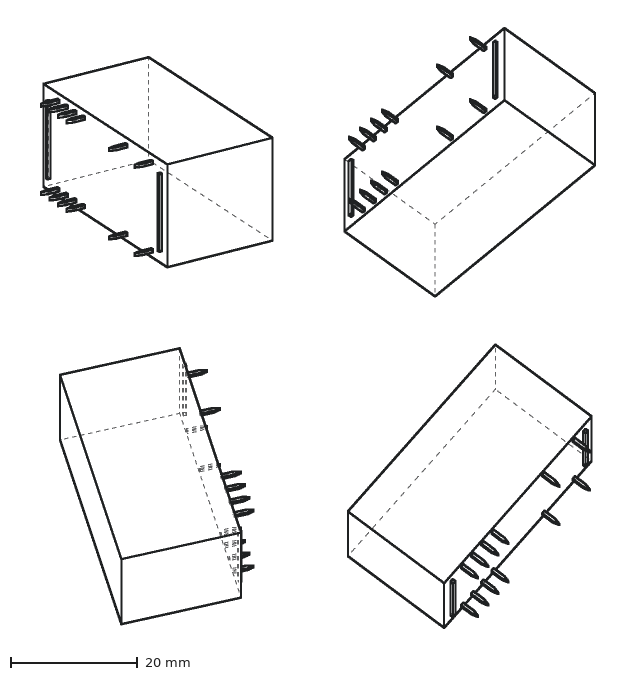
import cadquery as cq

housing_length = 36.9
housing_depth = 19.55
housing_height = 17.75

ridge_width = 0.6
ridge_length = 13.35
ridge_height = 0.5
ridge_end_margin = 1.55

pin_width = 0.6
pin_thickness = 0.5
pin_length = 3.25
pin_tip_length = 1.07
pin_grid_span = 27.95
pin_grid_slots = (0, 1, 2, 3, 8, 11)
pin_pitch = pin_grid_span / max(pin_grid_slots)
pin_row_spacing = 6 * pin_pitch


def make_housing():
    return cq.Workplane("XY").box(
        housing_length, housing_depth, housing_height, centered=(True, False, True)
    )


def make_ridge(x):
    ridge = cq.Workplane("XY").box(
        ridge_width, ridge_height, ridge_length, centered=(True, False, True)
    )
    return ridge.translate((x, -ridge_height, 0))


def make_pin(x, z):
    """Flat pin pointing along -Y, its sides tapering in X to a sharp wedge tip."""
    half_width = pin_width / 2
    shoulder_y = pin_tip_length - pin_length
    pin = (
        cq.Workplane("XY")
        .moveTo(-half_width, 0)
        .lineTo(-half_width, shoulder_y)
        .lineTo(0, -pin_length)
        .lineTo(half_width, shoulder_y)
        .lineTo(half_width, 0)
        .close()
        .extrude(pin_thickness / 2, both=True)
    )
    return pin.translate((x, 0, z))


result = make_housing()

ridge_x = housing_length / 2 - ridge_end_margin - ridge_width / 2
for side in (-1, 1):
    result = result.union(make_ridge(side * ridge_x))

for slot in pin_grid_slots:
    pin_x = slot * pin_pitch - pin_grid_span / 2
    for side in (-1, 1):
        result = result.union(make_pin(pin_x, side * pin_row_spacing / 2))